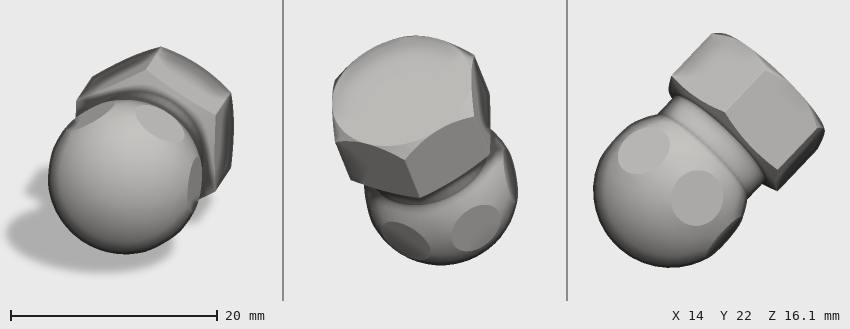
import cadquery as cq
import math

total_length = 22.0
across_flats = 14.0
corner_radius = 8.05
ball_radius = 7.5
neck_radius = 6.0
hex_length = 7.5
front_bevel_angle = 20.0
rear_bevel_angle = 45.0

ball_center = ball_radius
neck_start = ball_center + math.sqrt(ball_radius**2 - neck_radius**2)
hex_start = total_length - hex_length

rear_face_radius = across_flats / 2
front_bevel = (corner_radius - neck_radius) * math.tan(math.radians(front_bevel_angle))
rear_bevel = (corner_radius - rear_face_radius) * math.tan(math.radians(rear_bevel_angle))


def turned_body():
    """Ball, neck and bevelled head as one solid of revolution."""
    return (
        cq.Workplane("XY")
        .threePointArc((ball_radius, ball_center), (neck_radius, neck_start))
        .lineTo(neck_radius, hex_start)
        .lineTo(corner_radius, hex_start + front_bevel)
        .lineTo(corner_radius, total_length - rear_bevel)
        .lineTo(rear_face_radius, total_length)
        .lineTo(0, total_length)
        .close()
        .revolve(360, (0, 0, 0), (0, 1, 0))
    )


def hex_bar():
    """Hexagonal bar along Y with two corners on the Z axis."""
    corner_diameter = across_flats / math.cos(math.radians(30))
    return (
        cq.Workplane("XZ")
        .transformed(rotate=(0, 0, 90))
        .polygon(6, corner_diameter)
        .extrude(-total_length)
    )


result = turned_body().intersect(hex_bar())